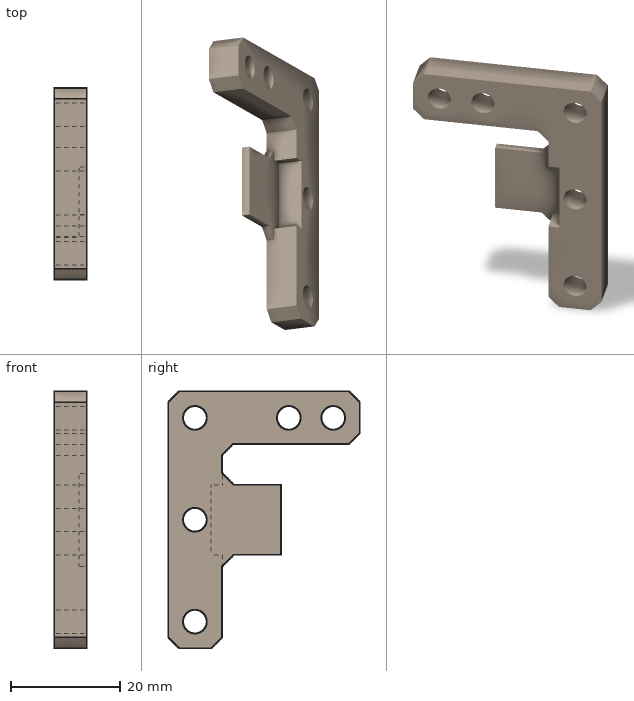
import cadquery as cq

thickness = 6.0
arm_length = 35.11
leg_height = 47.1
leg_width = 9.9
arm_width = 9.7
corner_chamfer = 2.0

tab_thickness = 1.5
tab_height = 12.9
tab_outer_y = 20.7
notch_floor_y = 7.8
gusset_size = 2.1

hole_diameter = 4.29
leg_hole_inset = 4.9
arm_hole_positions = [22.1, 30.23]

mid_z = leg_height / 2
arm_bottom_z = leg_height - arm_width
tab_front_x = thickness - tab_thickness
tab_bottom_z = mid_z - tab_height / 2
tab_top_z = mid_z + tab_height / 2


def yz_prism(points, x_start, depth):
    """Extrude a closed outline of (y, z) points along +X."""
    return cq.Workplane("YZ", origin=(x_start, 0, 0)).polyline(points).close().extrude(depth)


def make_plate():
    c = corner_chamfer
    outline = [
        (c, 0),
        (leg_width - c, 0),
        (leg_width, c),
        (leg_width, arm_bottom_z - c),
        (leg_width + c, arm_bottom_z),
        (arm_length - c, arm_bottom_z),
        (arm_length, arm_bottom_z + c),
        (arm_length, leg_height - c),
        (arm_length - c, leg_height),
        (c, leg_height),
        (0, leg_height - c),
        (0, c),
    ]
    return yz_prism(outline, 0, thickness)


def make_notch():
    """Clearance cut in the leg in front of the tab."""
    outline = [
        (notch_floor_y, tab_bottom_z),
        (leg_width, tab_bottom_z),
        (leg_width, tab_top_z),
        (notch_floor_y, tab_top_z),
    ]
    return yz_prism(outline, 0, tab_front_x)


def make_tab():
    """Tab with a triangular gusset joining it to the leg above and below."""
    gusset_y = leg_width + gusset_size
    outline = [
        (notch_floor_y, tab_bottom_z - gusset_size),
        (leg_width, tab_bottom_z - gusset_size),
        (gusset_y, tab_bottom_z),
        (tab_outer_y, tab_bottom_z),
        (tab_outer_y, tab_top_z),
        (gusset_y, tab_top_z),
        (leg_width, tab_top_z + gusset_size),
        (notch_floor_y, tab_top_z + gusset_size),
    ]
    return yz_prism(outline, tab_front_x, tab_thickness)


def make_holes():
    top_z = leg_height - leg_hole_inset
    centers = [(leg_hole_inset, z) for z in (leg_hole_inset, mid_z, top_z)]
    centers += [(y, top_z) for y in arm_hole_positions]
    return cq.Workplane("YZ").pushPoints(centers).circle(hole_diameter / 2).extrude(thickness)


result = make_plate().cut(make_notch()).union(make_tab()).cut(make_holes())
result = result.translate((-thickness / 2, -arm_length / 2, -leg_height / 2))